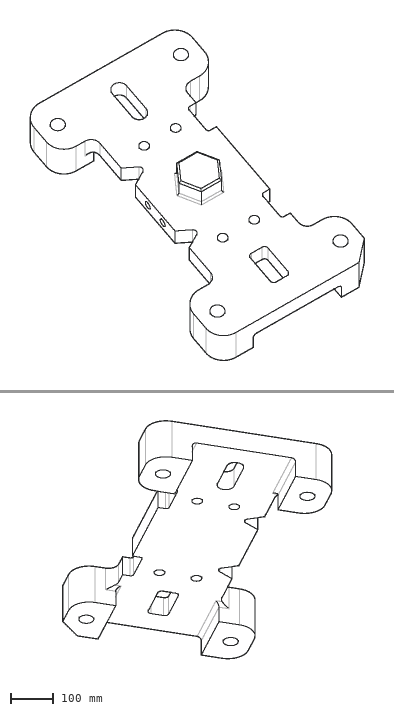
import cadquery as cq
import math

length = 800.0
leg_height = 100.0
thickness = leg_height / 2
corner_radius = thickness
block_length = 3 * corner_radius
block_width = 3 * block_length
leg_width = 2 * corner_radius
web_width = block_width - 2 * leg_width
web_length = length - 2 * block_length
web_fillet = corner_radius / 2
underside_fillet = thickness / 5
plate_bottom = leg_height - thickness
match_tolerance = 1.0

leg_hole_diameter = 35.0
plate_hole_diameter = 25.0
plate_hole_x = 160.0
plate_hole_y = 45.0
window_x = 285.0
slot_length = 120.0
slot_width = 40.0
rectangle_length = 100.0
rectangle_width = 50.0
rectangle_radius = 10.0

square_notch_x = 150.0
square_notch_length = 83.0
square_notch_depth = 25.0
square_notch_radius = 7.0
vee_x = 110.0
vee_depth = thickness
vee_half_angle = 30.0
vee_tip_radius = 10.0

edge_hole_diameter = 20.0
edge_hole_x = 30.0
edge_hole_depth = 60.0
drill_half_angle = 59.0

hex_sides = 6
hex_flats = 100.0
hex_height = hex_flats / 2
hex_bevel = hex_height / 10
hex_foot_fillet = hex_bevel


def box(size_x, size_y, bottom, top):
    """Box centred on the Z axis."""
    return cq.Workplane("XY").workplane(offset=bottom).rect(size_x, size_y).extrude(top - bottom)


def corner_edges(solid, x, y):
    """Vertical edges at (+-x, +-y)."""
    def at_corner(edge):
        middle = edge.Center()
        return math.hypot(abs(middle.x) - x, abs(middle.y) - y) < match_tolerance

    return solid.edges("|Z").filter(at_corner)


def make_body():
    """H-shaped block with rounded corners and one bevelled corner."""
    body = box(web_length, web_width, 0, leg_height)
    for side in (-1, 1):
        block = box(block_length, block_width, 0, leg_height)
        body = body.union(block.translate((side * (length - block_length) / 2, 0, 0)))
    body = corner_edges(body, web_length / 2, web_width / 2).fillet(web_fillet)
    body = corner_edges(body, web_length / 2, block_width / 2).fillet(corner_radius)
    outer = corner_edges(body, length / 2, block_width / 2)
    body = outer.filter(lambda edge: edge.Center().x < 0 or edge.Center().y < 0).fillet(corner_radius)
    return corner_edges(body, length / 2, block_width / 2).chamfer(corner_radius)


def make_underside_channels():
    """Crossing channels that leave a leg under each corner."""
    along_x = box(length, web_width, 0, plate_bottom)
    along_x = along_x.edges("|X and >Z").fillet(underside_fillet)
    along_y = box(web_length, block_width, 0, plate_bottom)
    along_y = along_y.edges("|Y and >Z").fillet(underside_fillet)
    return along_x.union(along_y)


def make_through_holes():
    """Round holes and windows cut vertically through the part."""
    plane = cq.Workplane("XY")
    leg_holes = (
        plane.rect(length - block_length, block_width - 2 * corner_radius, forConstruction=True)
        .vertices().circle(leg_hole_diameter / 2).extrude(leg_height)
    )
    plate_holes = (
        plane.rect(2 * plate_hole_x, 2 * plate_hole_y, forConstruction=True)
        .vertices().circle(plate_hole_diameter / 2).extrude(leg_height)
    )
    slot = plane.center(-window_x, 0).slot2D(slot_length, slot_width).extrude(leg_height)
    rectangle = box(rectangle_length, rectangle_width, 0, leg_height)
    rectangle = rectangle.edges("|Z").fillet(rectangle_radius).translate((window_x, 0, 0))
    return leg_holes.add(plate_holes).add(slot).add(rectangle).combine()


def make_square_notch():
    """Square notch in the back edge, with rounded inner corners."""
    notch = box(square_notch_length, 2 * square_notch_depth, 0, leg_height)
    notch = notch.edges("|Z and <Y").fillet(square_notch_radius)
    return notch.translate((0, web_width / 2, 0))


def make_vee_notch():
    """V-shaped notch in the front edge, with a rounded tip."""
    half_width = vee_depth * math.tan(math.radians(vee_half_angle))
    notch = (
        cq.Workplane("XY")
        .polyline([(-half_width, 0), (half_width, 0), (0, vee_depth)]).close()
        .extrude(leg_height)
    )
    notch = notch.edges("|Z and >Y").fillet(vee_tip_radius)
    return notch.translate((0, -web_width / 2, 0))


def make_edge_hole():
    """Drilled hole with a conical bottom, running inward from the front edge."""
    radius = edge_hole_diameter / 2
    tip_length = radius / math.tan(math.radians(drill_half_angle))
    plane = cq.Workplane("XZ")
    hole = plane.circle(radius).extrude(-edge_hole_depth)
    tip = cq.Solid.makeCone(radius, 0, tip_length, cq.Vector(0, edge_hole_depth, 0), cq.Vector(0, 1, 0))
    return hole.union(tip).translate((0, -web_width / 2, leg_height - thickness / 2))


def make_hex_boss():
    """Hexagonal boss with a bevelled top and two corners on the Y axis."""
    across_corners = hex_flats / math.cos(math.pi / hex_sides)
    plane = cq.Workplane("XY").workplane(offset=leg_height).transformed(rotate=(0, 0, 90))
    boss = plane.polygon(hex_sides, across_corners).extrude(hex_height)
    return boss.faces(">Z").chamfer(hex_bevel)


def fillet_hex_foot(part):
    """Round the inner corner where the boss stands on the plate."""
    reach = hex_flats / 2 + hex_foot_fillet
    foot = cq.selectors.BoxSelector(
        (-reach, -reach, leg_height - hex_bevel), (reach, reach, leg_height + hex_bevel)
    )
    return part.edges(foot).edges("#Z").fillet(hex_foot_fillet)


result = make_body().cut(make_underside_channels()).cut(make_through_holes())
for side in (-1, 1):
    result = result.cut(make_square_notch().translate((side * square_notch_x, 0, 0)))
    result = result.cut(make_vee_notch().translate((side * vee_x, 0, 0)))
    result = result.cut(make_edge_hole().translate((side * edge_hole_x, 0, 0)))
result = fillet_hex_foot(result.union(make_hex_boss()))